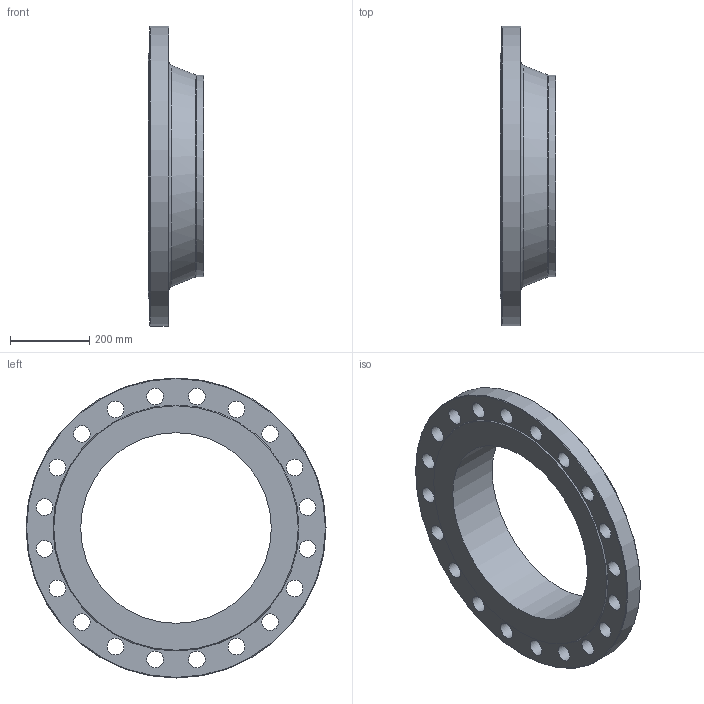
import cadquery as cq

TOTAL_LENGTH = 140.0
FLANGE_DIAMETER = 755.0
FLANGE_BACK = 52.0
FACE_DIAMETER = 615.0
FACE_HEIGHT = 4.0
FACE_FLARE = 2.0
PIPE_DIAMETER = 508.0
WALL_THICKNESS = 14.2
WELD_END_LENGTH = 20.0
HUB_DIAMETER = 562.0
HUB_FILLET = 12.0
EDGE_CHAMFER = 1.5
BOLT_COUNT = 20
BOLT_HOLE_DIAMETER = 42.0
BOLT_CIRCLE_DIAMETER = 670.0
FULL_TURN = 360.0
HALF_TURN = FULL_TURN / 2
SELECTION_MARGIN = 1.0

flange_radius = FLANGE_DIAMETER / 2
face_radius = FACE_DIAMETER / 2
pipe_radius = PIPE_DIAMETER / 2
bore_radius = pipe_radius - WALL_THICKNESS
hub_radius = HUB_DIAMETER / 2
cone_end = TOTAL_LENGTH - WELD_END_LENGTH


def revolved_body():
    """Half section in the XY plane, turned about the X axis."""
    section = (
        cq.Workplane("XY")
        .moveTo(0, bore_radius)
        .lineTo(0, face_radius)
        .lineTo(FACE_HEIGHT, face_radius + FACE_FLARE)
        .lineTo(FACE_HEIGHT, flange_radius - EDGE_CHAMFER)
        .lineTo(FACE_HEIGHT + EDGE_CHAMFER, flange_radius)
        .lineTo(FLANGE_BACK - EDGE_CHAMFER, flange_radius)
        .lineTo(FLANGE_BACK, flange_radius - EDGE_CHAMFER)
        .lineTo(FLANGE_BACK, hub_radius)
        .lineTo(cone_end, pipe_radius)
        .lineTo(TOTAL_LENGTH, pipe_radius)
        .lineTo(TOTAL_LENGTH, bore_radius)
        .close()
    )
    return section.revolve(FULL_TURN, (0, 0, 0), (1, 0, 0))


def round_hub_edge(body, edge_x, edge_radius):
    """Fillet the circular edge of the cone that lies in the plane X = edge_x."""
    reach = edge_radius + SELECTION_MARGIN
    edge = cq.selectors.BoxSelector(
        (edge_x - SELECTION_MARGIN, -reach, -reach),
        (edge_x + SELECTION_MARGIN, reach, reach),
        boundingbox=True,
    )
    return body.edges(edge).fillet(HUB_FILLET)


def bolt_holes():
    """Through holes on the bolt circle, straddling the Y and Z axes."""
    return (
        cq.Workplane("YZ")
        .polarArray(BOLT_CIRCLE_DIAMETER / 2, HALF_TURN / BOLT_COUNT, FULL_TURN, BOLT_COUNT)
        .circle(BOLT_HOLE_DIAMETER / 2)
        .extrude(FLANGE_BACK)
    )


body = revolved_body()
body = round_hub_edge(body, FLANGE_BACK, hub_radius)
body = round_hub_edge(body, cone_end, pipe_radius)
result = body.cut(bolt_holes())